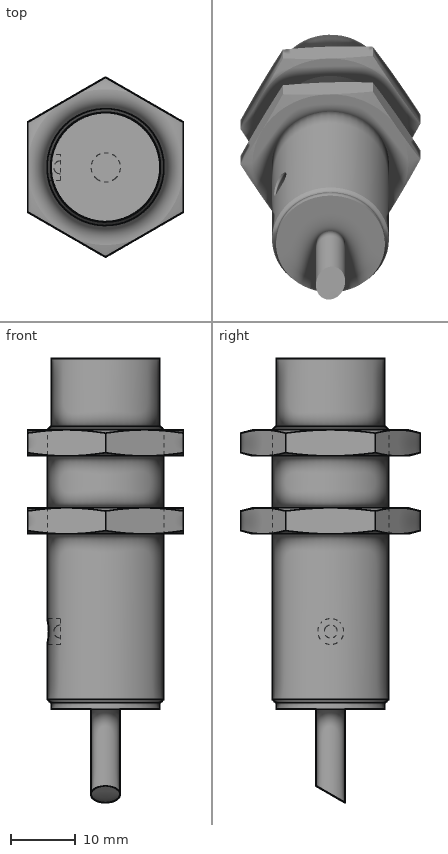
import cadquery as cq
import math

overall_length = 68.41

sleeve_diameter = 18.0
thread_root_diameter = 16.92
sleeve_chamfer = (sleeve_diameter - thread_root_diameter) / 2
sleeve_top_z = -10.46
sleeve_bottom_z = -53.0

core_diameter = 16.77
core_bottom_z = -54.0

cable_diameter = 4.5
cable_cut_angle = 30.0

light_z = -42.0
light_recess_diameter = 4.0
light_recess_depth = 2.0
light_dome_radius = 1.0

nut_across_flats = 24.0
nut_thickness = 4.0
nut_chamfer_angle = 15.0
nut_top_levels = [-11.0, -23.0]


def make_sleeve():
    sleeve_length = sleeve_top_z - sleeve_bottom_z
    sleeve = cq.Workplane("XY").workplane(offset=sleeve_bottom_z).circle(sleeve_diameter / 2)
    return sleeve.extrude(sleeve_length).faces("<Z or >Z").chamfer(sleeve_chamfer)


def make_core():
    return cq.Workplane("XY").circle(core_diameter / 2).extrude(core_bottom_z)


def make_cable():
    radius = cable_diameter / 2
    long_side_z = -overall_length
    short_side_z = long_side_z + cable_diameter * math.tan(math.radians(cable_cut_angle))
    side_outline = [
        (-radius, core_bottom_z),
        (radius, core_bottom_z),
        (radius, long_side_z),
        (-radius, short_side_z),
    ]
    cut_envelope = cq.Workplane("YZ").polyline(side_outline).close().extrude(radius, both=True)
    cable = cq.Workplane("XY").workplane(offset=core_bottom_z).circle(radius)
    return cable.extrude(long_side_z - core_bottom_z).intersect(cut_envelope)


def add_indicator_light(body):
    recess_floor_x = light_recess_depth - sleeve_diameter / 2
    recess = (
        cq.Workplane("YZ", origin=(recess_floor_x, 0, light_z))
        .circle(light_recess_diameter / 2)
        .extrude(-light_recess_depth)
    )
    dome = cq.Workplane("XY", origin=(recess_floor_x, 0, light_z)).sphere(light_dome_radius)
    return body.cut(recess).union(dome)


def make_sensor():
    body = make_sleeve().union(make_core()).union(make_cable())
    return add_indicator_light(body)


def make_nut(top_z):
    flat_radius = nut_across_flats / 2
    corner_radius = flat_radius / math.cos(math.radians(30))
    corner_drop = (corner_radius - flat_radius) * math.tan(math.radians(nut_chamfer_angle))
    hexagon = (
        cq.Workplane("XY")
        .polygon(6, 2 * corner_radius)
        .extrude(-nut_thickness)
        .rotate((0, 0, 0), (0, 0, 1), 30)
    )
    half_section = [
        (sleeve_diameter / 2, 0),
        (flat_radius, 0),
        (corner_radius, -corner_drop),
        (corner_radius, corner_drop - nut_thickness),
        (flat_radius, -nut_thickness),
        (sleeve_diameter / 2, -nut_thickness),
    ]
    chamfered_ring = cq.Workplane("XZ").polyline(half_section).close().revolve(360, (0, 0), (0, 1))
    return hexagon.intersect(chamfered_ring).translate((0, 0, top_z))


sensor = make_sensor()
nuts = [make_nut(top_z) for top_z in nut_top_levels]

result = cq.Compound.makeCompound([sensor.val(), *[nut.val() for nut in nuts]])